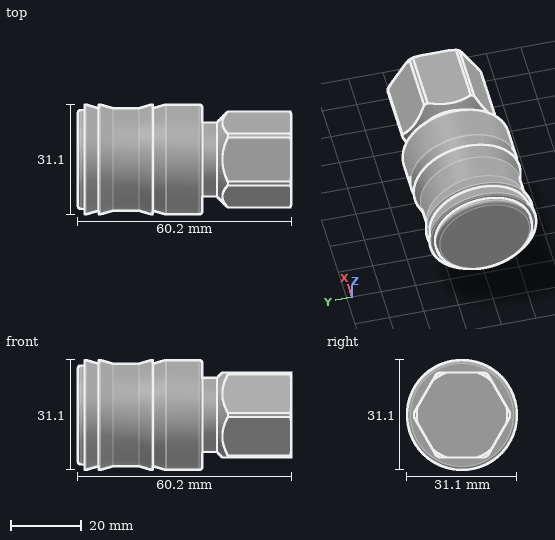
import cadquery as cq
import math

length = 60.2

nose_radius = 28.0 / 2
waist_radius = 29.0 / 2
sleeve_radius = 31.0 / 2
crest_radius = 31.1 / 2
neck_radius = 21.0 / 2

ridge_pitch = 4.05
first_ridge = 1.85
second_ridge = first_ridge + ridge_pitch
waist_start = 10.0
waist_end = 17.2
third_ridge = 21.2
sleeve_start = third_ridge + ridge_pitch
sleeve_end = 35.2
hex_start = 39.3

edge_round = 0.95
crest_round = 0.35
groove_width = 0.35

hex_sides = 6
across_flats = 24.05
corner_radius = 27.1 / 2
lead_in_angle = 45.0
end_chamfer_angle = 20.0
end_chamfer_depth = 0.8

cone_angle = math.atan((crest_radius - waist_radius) / (waist_start - second_ridge - crest_round))
groove_radius = crest_radius - (ridge_pitch - groove_width - crest_round) * math.tan(cone_angle)

FACING_NOSE = -1
FACING_HEX = 1


def turn(outline):
    """Revolve a closed outline of (x, radius) about the X axis."""
    return outline.revolve(360, (0, 0, 0), (1, 0, 0))


def crest_point(face_x, facing, angle):
    """Point on a rounded crest; the angle runs from straight up towards the steep face."""
    x = face_x + facing * crest_round * (math.sin(angle) - 1)
    radius = crest_radius - crest_round * (1 - math.cos(angle))
    return (x, radius)


def crest_arc(outline, face_x, facing, start_angle, end_angle):
    """Run the outline to a rounded crest and over its top."""
    start = crest_point(face_x, facing, start_angle)
    top = crest_point(face_x, facing, 0)
    end = crest_point(face_x, facing, end_angle)
    return outline.lineTo(*start).threePointArc(top, end)


def make_sleeve():
    steep = math.pi / 2
    sleeve_drop = math.acos(1 - (crest_radius - sleeve_radius) / crest_round)

    outline = cq.Workplane("XY").lineTo(0, nose_radius - edge_round)
    outline = outline.radiusArc((edge_round, nose_radius), edge_round)
    outline = outline.lineTo(first_ridge, nose_radius)

    outline = crest_arc(outline, first_ridge, FACING_NOSE, steep, -cone_angle)
    outline = outline.lineTo(second_ridge - groove_width, groove_radius)
    outline = outline.lineTo(second_ridge, groove_radius)
    outline = crest_arc(outline, second_ridge, FACING_NOSE, steep, -cone_angle)

    outline = outline.lineTo(waist_start, waist_radius).lineTo(waist_end, waist_radius)

    outline = crest_arc(outline, third_ridge, FACING_HEX, -cone_angle, steep)
    outline = outline.lineTo(third_ridge, groove_radius)
    outline = outline.lineTo(third_ridge + groove_width, groove_radius)

    outline = crest_arc(outline, sleeve_start, FACING_HEX, -cone_angle, sleeve_drop)
    outline = outline.lineTo(sleeve_end - edge_round, sleeve_radius)
    outline = outline.radiusArc((sleeve_end, sleeve_radius - edge_round), edge_round)
    return turn(outline.lineTo(sleeve_end, 0).close())


def make_neck():
    return cq.Workplane("YZ", origin=(sleeve_end, 0, 0)).circle(neck_radius).extrude(hex_start - sleeve_end)


def make_hexagon():
    across_corners = across_flats / math.cos(math.pi / hex_sides)
    prism = (
        cq.Workplane("YZ", origin=(hex_start, 0, 0))
        .polygon(hex_sides, across_corners)
        .extrude(length - hex_start)
    )
    lead_in_length = (corner_radius - neck_radius) / math.tan(math.radians(lead_in_angle))
    end_chamfer_length = end_chamfer_depth * math.tan(math.radians(end_chamfer_angle))
    envelope = turn(
        cq.Workplane("XY")
        .moveTo(hex_start, 0)
        .lineTo(hex_start, neck_radius)
        .lineTo(hex_start + lead_in_length, corner_radius)
        .lineTo(length - end_chamfer_length, corner_radius)
        .lineTo(length, corner_radius - end_chamfer_depth)
        .lineTo(length, 0)
        .close()
    )
    return prism.intersect(envelope)


result = make_sleeve().union(make_neck()).union(make_hexagon())